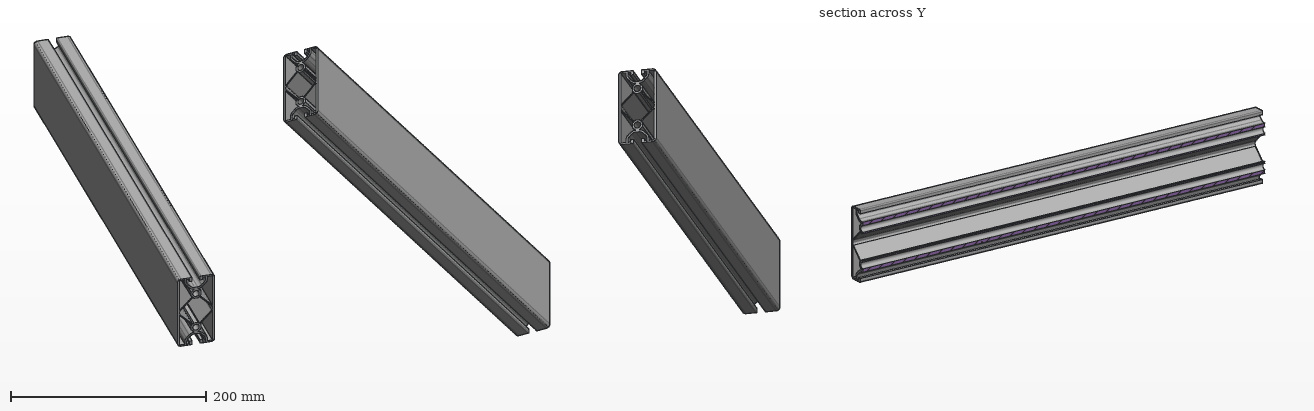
import cadquery as cq
import math

LENGTH = 500.0
WIDTH = 40.0
HEIGHT = 80.0
CORNER_RADIUS = 4.0
SIDE_WALL = 2.4
TOP_WALL = 1.8

SLOT_OPENING = 8.2
LIP_WIDTH = 3.2
LIP_DEPTH = 4.5
LIP_FILLET = 1.2
SLOT_WIDTH = 20.0
SLOT_WALL = 2.1
SLOT_FLOOR_DEPTH = 12.3
SLOT_FLOOR_RADIUS = 6.0
SLOT_FLOOR_WIDTH = 3.2
SLOT_SHOULDER_RADIUS = 4.0

CHANNEL_SPACING = 40.0
CHANNEL_HOLE = 6.8
CHANNEL_FLATS = 10.8
WEB = 1.1
WEB_REACH = 20.1
WEB_FILLET = 4.0

OCTAGON_SIDES = 8

half_corner_angle = 180 / OCTAGON_SIDES
half_corner_tangent = math.tan(math.radians(half_corner_angle))

half_height = HEIGHT / 2
hollow_width = WIDTH - 2 * SIDE_WALL
channel_z = CHANNEL_SPACING / 2
octagon_side = CHANNEL_FLATS * half_corner_tangent


def section():
    """Section plane at the -X end: local x is +Y and local y is +Z."""
    return cq.Workplane("YZ").workplane(offset=-LENGTH / 2)


def bar(width, height, centre_z=0.0):
    """Full-length rectangular bar centred on Y = 0."""
    return section().center(0, centre_z).rect(width, height).extrude(LENGTH)


def tube():
    """Outer tube with rounded long edges."""
    outer = bar(WIDTH, HEIGHT).edges("|X").fillet(CORNER_RADIUS)
    return outer.cut(bar(hollow_width, HEIGHT - 2 * TOP_WALL))


def diamond(reach):
    """Full-length square bar standing on edge, with corners at the given reach from the axis."""
    corners = [(reach, 0), (0, reach), (-reach, 0), (0, -reach)]
    return section().polyline(corners).close().extrude(LENGTH)


def webs():
    """Diamond of webs between the side walls, its inside rounded where it meets them."""
    half_thickness = WEB / math.sqrt(2)
    opening = diamond(WEB_REACH - half_thickness).intersect(bar(hollow_width, HEIGHT))
    wall_edges = opening.edges("|X").edges(">Y or <Y")
    opening = wall_edges.fillet(WEB_FILLET)
    frame = diamond(WEB_REACH + half_thickness).intersect(bar(hollow_width + SIDE_WALL, HEIGHT))
    return frame.cut(opening)


def slot_bar(growth):
    """Bar filling the top slot up to the ceiling behind its lips, enlarged all round by growth.

    Vertical sides run in at 45 degrees to the narrow flat floor; both bends are rounded.
    """
    half_width = SLOT_WIDTH / 2 + growth
    half_floor = SLOT_FLOOR_WIDTH / 2 + (SLOT_FLOOR_RADIUS + growth) * half_corner_tangent
    depth = SLOT_FLOOR_DEPTH + growth - TOP_WALL
    centre_z = half_height - TOP_WALL - depth / 2
    blank = bar(2 * half_width, depth, centre_z)
    blank = blank.faces("<Z").edges("|X").chamfer(half_width - half_floor)
    blank = blank.faces("<Z").edges("|X").fillet(SLOT_FLOOR_RADIUS + growth)
    return blank.faces(">Y or <Y").edges("|X and (not >Z)").fillet(SLOT_SHOULDER_RADIUS + growth)


def slot_lip(side):
    """Thick lip beside the slot opening (side is +1 or -1), rounded at its outer edge."""
    inner_y = side * SLOT_OPENING / 2
    lip = bar(LIP_WIDTH, LIP_DEPTH, half_height - LIP_DEPTH / 2)
    lip = lip.translate((0, inner_y + side * LIP_WIDTH / 2, 0))
    opening_side = "<Y" if side > 0 else ">Y"
    return lip.faces(opening_side).edges(">Z").fillet(LIP_FILLET)


def channel_block():
    """Octagonal bar around the screw hole and the neck that joins it to the slot floor."""
    circumscribed_diameter = CHANNEL_FLATS / math.cos(math.radians(half_corner_angle))
    octagon = (
        section()
        .center(0, channel_z)
        .transformed(rotate=(0, 0, half_corner_angle))
        .polygon(OCTAGON_SIDES, circumscribed_diameter)
        .extrude(LENGTH)
    )
    neck_top = half_height - SLOT_FLOOR_DEPTH
    return octagon.union(bar(octagon_side, neck_top - channel_z, (neck_top + channel_z) / 2))


def on_top_and_bottom(upper):
    """The given upper body together with its mirror image below Z = 0."""
    return upper.union(upper.mirror("XY"))


def profile():
    """Complete profile: walls, webs and channels, then the slots, screw holes and lips."""
    opening_width = SLOT_OPENING + 2 * LIP_WIDTH
    slot_space = slot_bar(0).union(bar(opening_width, TOP_WALL, half_height - TOP_WALL / 2))
    hole = section().center(0, channel_z).circle(CHANNEL_HOLE / 2).extrude(LENGTH)
    supports = on_top_and_bottom(slot_bar(SLOT_WALL).union(channel_block()))
    body = tube().union(webs()).union(supports)
    body = body.cut(on_top_and_bottom(slot_space)).cut(on_top_and_bottom(hole))
    for side in (1, -1):
        body = body.union(on_top_and_bottom(slot_lip(side)))
    return body.clean()


result = profile()